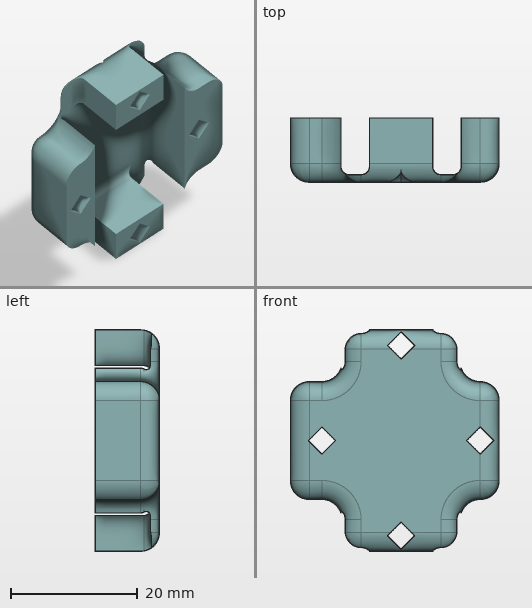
import cadquery as cq
import math

height = 35.0
depth = 10.2
reach_z = height / 2
reach_left = reach_z
reach_right = 15.5
edge_radius = 3.0
lobe_half_width = 9.3
notch_center = 12.5
notch_radius = notch_center - lobe_half_width

floor_thickness = 1.22
interior_half_width = 9.5
tab_half_width = 5.0
tab_height = 5.67
floor_fillet = 1.25

hole_side = 3.0
hole_x = notch_center
hole_z = 15.0

overcut = 3.5
fillet_clearance = 0.005


def front_workplane(y):
    """XZ workplane at the given Y; negative extrusions run toward +Y."""
    return cq.Workplane("XZ", origin=(0, y, 0))


def arc_middle(center_x, center_z, radius, toward_x, toward_z):
    """Middle point of a quarter arc bulging toward the given diagonal."""
    offset = radius * math.sqrt(0.5)
    return (center_x + toward_x * offset, center_z + toward_z * offset)


def body_half(side, reach_x):
    """Cross outline from the center plane to one side, with rounded outer corners."""
    outline = front_workplane(0).moveTo(0, reach_z)
    corner_offset = lobe_half_width - edge_radius
    corner_z = reach_z - edge_radius
    side_x = reach_x - edge_radius
    outline = outline.lineTo(side * corner_offset, reach_z)
    outline = outline.threePointArc(
        arc_middle(side * corner_offset, corner_z, edge_radius, side, 1),
        (side * lobe_half_width, corner_z),
    )
    outline = outline.lineTo(side * lobe_half_width, notch_center)
    outline = outline.threePointArc(
        arc_middle(side * notch_center, notch_center, notch_radius, -side, -1),
        (side * notch_center, lobe_half_width),
    )
    if side_x > notch_center:
        outline = outline.lineTo(side * side_x, lobe_half_width)
    outline = outline.threePointArc(
        arc_middle(side * side_x, corner_offset, edge_radius, side, 1),
        (side * reach_x, corner_offset),
    )
    outline = outline.lineTo(side * reach_x, 0).lineTo(0, 0).close()
    quarter = outline.extrude(-depth)
    return quarter.union(quarter.mirror("XY"))


def body():
    """Both halves joined, with the whole front edge rounded."""
    blank = body_half(-1, reach_left).union(body_half(1, reach_right)).clean()
    return blank.faces("<Y").edges().fillet(edge_radius - fillet_clearance)


def interior():
    """Space cut out of the body, leaving the tabs and a filleted floor."""
    cut_depth = depth - floor_thickness + overcut
    cut_half_height = reach_z + overcut
    tab_space = tab_height + overcut
    tab_center_z = reach_z - tab_height + tab_space / 2
    cutter = front_workplane(floor_thickness).rect(2 * interior_half_width, 2 * cut_half_height)
    cutter = cutter.extrude(-cut_depth)
    tabs = front_workplane(floor_thickness).pushPoints([(0, tab_center_z), (0, -tab_center_z)])
    tabs = tabs.rect(2 * tab_half_width, tab_space).extrude(-cut_depth)
    return cutter.cut(tabs).faces("<Y").edges().fillet(floor_fillet)


def square_holes():
    """Four square prisms through the full depth, turned by 45 degrees."""
    centers = [(hole_x, 0), (-hole_x, 0), (0, hole_z), (0, -hole_z)]
    diagonal = hole_side * math.sqrt(2)
    return front_workplane(0).pushPoints(centers).polygon(4, diagonal).extrude(-depth)


result = body().cut(interior()).cut(square_holes())